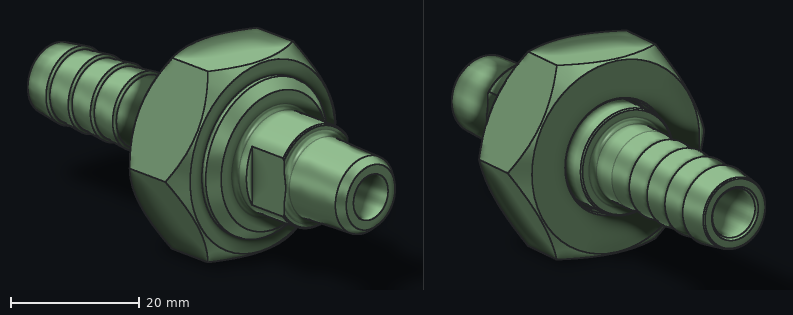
import cadquery as cq
import math


tail_bore_diameter = 8.0
tail_bore_chamfer = 0.35
hose_diameter = 13.0
barb_root_diameter = 12.0
tip_diameter = 11.7
tip_chamfer = 0.2
barb_pitch = 5.0
barb_back_length = 0.35
barb_count = 4
barbs_end = (barb_count + 1) * barb_pitch
collar_start = 29.95
collar_diameter = 17.5
collar_chamfer = 0.25
collar_fillet = 0.85
seat_diameter = 23.5
seat_thickness = 2.85

nut_start = 33.3
nut_length = 13.5
nut_across_flats = 32.0
nut_face_diameter = 31.5
nut_lip_thickness = 2.85
nut_lip_diameter = 18.5
nut_lip_chamfer = 0.3
nut_thread_diameter = 24.15
nut_end = nut_start + nut_length
seat_start = nut_start + nut_lip_thickness
seat_end = seat_start + seat_thickness
nut_across_corners = nut_across_flats / math.cos(math.pi / 6)

total_length = 71.0
spigot_bore_diameter = 7.5
flange_diameter = 26.4
flange_end = 49.35
flange_chamfer = 1.7
hub_diameter = 17.0
hub_end = 58.7
hub_fillet = 0.8
hub_chamfer = 0.2
flats_start = 51.9
flats_across = 13.85
flats_end_slope = 0.35
pipe_large_diameter = 13.5
pipe_small_diameter = 12.8
pipe_fillet = 0.9
pipe_end_diameter = 10.65
pipe_chamfer_length = 1.35
pipe_start = hub_end + pipe_fillet


def concave_arc(profile, x_wall, radius_shaft, fillet, direction):
    """Continue a profile with the quarter round between a shaft and a wall face.

    Direction +1 climbs onto a wall ahead; -1 descends from a wall behind.
    """
    x_centre = x_wall - direction * fillet
    y_centre = radius_shaft + fillet
    reach = fillet * math.sqrt(0.5)
    middle = (x_centre + direction * reach, y_centre - reach)
    shaft_point = (x_centre, radius_shaft)
    wall_point = (x_wall, y_centre)
    end = wall_point if direction > 0 else shaft_point
    return profile.threePointArc(middle, end)


def revolve_about_x(profile):
    return profile.close().revolve(360, (0, 0, 0), (1, 0, 0))


def make_tail():
    bore_radius = tail_bore_diameter / 2
    hose_radius = hose_diameter / 2
    collar_radius = collar_diameter / 2
    profile = (
        cq.Workplane("XY")
        .moveTo(tail_bore_chamfer, bore_radius)
        .lineTo(0, bore_radius + tail_bore_chamfer)
        .lineTo(0, tip_diameter / 2 - tip_chamfer)
        .lineTo(tip_chamfer, tip_diameter / 2)
    )
    for barb in range(1, barb_count + 1):
        crest_x = barb * barb_pitch
        profile = profile.lineTo(crest_x, hose_radius)
        profile = profile.lineTo(crest_x + barb_back_length, barb_root_diameter / 2)
    profile = profile.lineTo(barbs_end, hose_radius).lineTo(collar_start - collar_fillet, hose_radius)
    profile = concave_arc(profile, collar_start, hose_radius, collar_fillet, 1)
    profile = (
        profile.lineTo(collar_start, collar_radius - collar_chamfer)
        .lineTo(collar_start + collar_chamfer, collar_radius)
        .lineTo(seat_start, collar_radius)
        .lineTo(seat_start, seat_diameter / 2)
        .lineTo(seat_end, seat_diameter / 2)
        .lineTo(seat_end, bore_radius)
    )
    return revolve_about_x(profile)


def make_nut():
    hexagon = (
        cq.Workplane("YZ", origin=(nut_start, 0, 0))
        .polygon(6, nut_across_corners)
        .extrude(nut_length)
    )
    face_radius = nut_face_diameter / 2
    peak_radius = face_radius + nut_length / 2
    cone_envelope = revolve_about_x(
        cq.Workplane("XY")
        .moveTo(nut_start, 0)
        .lineTo(nut_start, face_radius)
        .lineTo(nut_start + nut_length / 2, peak_radius)
        .lineTo(nut_end, face_radius)
        .lineTo(nut_end, 0)
    )
    lip_radius = nut_lip_diameter / 2
    opening = revolve_about_x(
        cq.Workplane("XY")
        .moveTo(nut_start, 0)
        .lineTo(nut_start, lip_radius + nut_lip_chamfer)
        .lineTo(nut_start + nut_lip_chamfer, lip_radius)
        .lineTo(seat_start, lip_radius)
        .lineTo(seat_start, nut_thread_diameter / 2)
        .lineTo(nut_end, nut_thread_diameter / 2)
        .lineTo(nut_end, 0)
    )
    return hexagon.intersect(cone_envelope).cut(opening)


def make_wrench_flat_cutter():
    """Block that mills the -Y wrench flat, with a slightly sloped end wall."""
    flat_y = -flats_across / 2
    rim_y = -hub_diameter / 2
    return (
        cq.Workplane("XY")
        .moveTo(flats_start - flats_end_slope, flat_y)
        .lineTo(flats_start, rim_y)
        .lineTo(pipe_start, rim_y)
        .lineTo(pipe_start, flat_y)
        .close()
        .extrude(hub_diameter / 2, both=True)
    )


def make_spigot():
    bore_radius = spigot_bore_diameter / 2
    thread_radius = nut_thread_diameter / 2
    flange_radius = flange_diameter / 2
    hub_radius = hub_diameter / 2
    pipe_radius = pipe_large_diameter / 2
    profile = (
        cq.Workplane("XY")
        .moveTo(seat_end, bore_radius)
        .lineTo(seat_end, thread_radius)
        .lineTo(nut_end, thread_radius)
        .lineTo(nut_end, flange_radius)
        .lineTo(flange_end - flange_chamfer, flange_radius)
        .lineTo(flange_end, flange_radius - flange_chamfer)
        .lineTo(flange_end, hub_radius + hub_fillet)
    )
    profile = concave_arc(profile, flange_end, hub_radius, hub_fillet, -1)
    profile = (
        profile.lineTo(hub_end - hub_chamfer, hub_radius)
        .lineTo(hub_end, hub_radius - hub_chamfer)
        .lineTo(hub_end, pipe_radius + pipe_fillet)
    )
    profile = concave_arc(profile, hub_end, pipe_radius, pipe_fillet, -1)
    profile = (
        profile.lineTo(total_length - pipe_chamfer_length, pipe_small_diameter / 2)
        .lineTo(total_length, pipe_end_diameter / 2)
        .lineTo(total_length, bore_radius)
    )
    near_flat = make_wrench_flat_cutter()
    far_flat = near_flat.mirror("XZ")
    return revolve_about_x(profile).cut(near_flat).cut(far_flat)


tail = make_tail()
nut = make_nut()
spigot = make_spigot()

result = cq.Compound.makeCompound([tail.val(), nut.solids().val(), spigot.solids().val()])